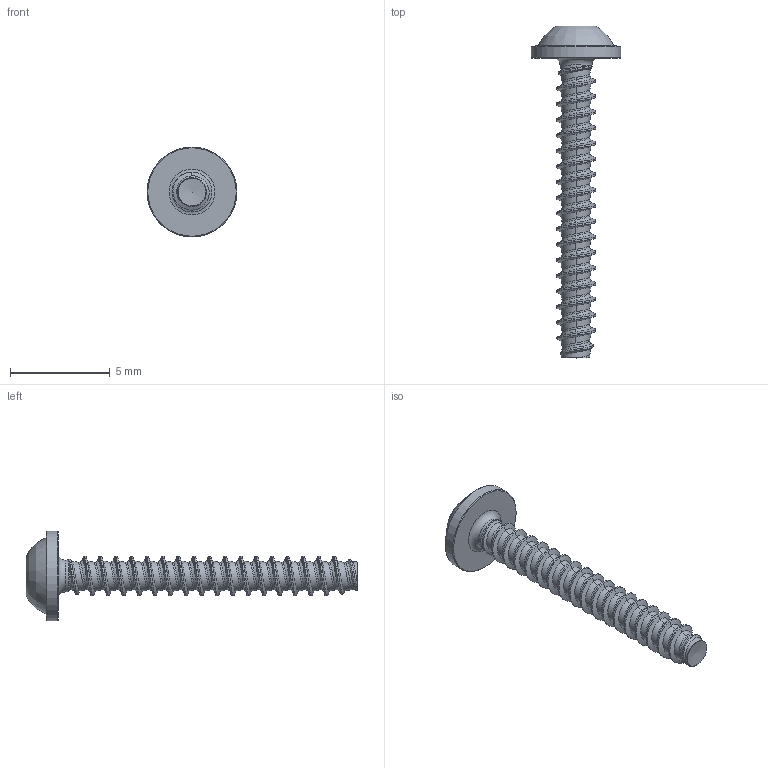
import cadquery as cq
import math


full_circle = 360

flange_radius = 2.25
flange_height = 0.6
flange_edge_chamfer = 0.04
head_height = 1.6
dome_base_radius = 1.9
dome_flat_radius = 0.95
dome_shoulder_radius = 1.64
dome_shoulder_height = 1.08

shank_length = 15.0
tip_dish_depth = 0.07
core_radius = 0.7
neck_radius = 0.8
neck_fillet = 0.35
neck_end = 0.5
neck_taper_end = 0.6

crest_radius = 1.0
pitch = 0.78
crest_half_width = 0.04
flank_foot_radius = 0.75
flank_foot_half_width = 0.12
head_side_ramp_end = 0.27
tip_side_ramp_end = 0.45
buried_depth = 0.003
full_thread_start = 1.335
full_thread_turns = 16
seam_angle = 90
head_run_out_turns = 1.25
head_run_out_height = 0.35
tip_run_out_turns = 1.5
tip_run_out_height = 0.05


def revolve_about_y(outline):
    """Close a (radius, Y) outline and turn it into a solid of revolution."""
    return outline.close().revolve(full_circle, (0, 0, 0), (0, 1, 0))


def make_head():
    outline = (
        cq.Workplane("ZY")
        .lineTo(flange_radius - flange_edge_chamfer, 0)
        .lineTo(flange_radius, flange_edge_chamfer)
        .lineTo(flange_radius, flange_height - flange_edge_chamfer)
        .lineTo(flange_radius - flange_edge_chamfer, flange_height)
        .lineTo(dome_base_radius, flange_height)
        .threePointArc((dome_shoulder_radius, dome_shoulder_height), (dome_flat_radius, head_height))
        .lineTo(0, head_height)
    )
    return revolve_about_y(outline)


def make_shank():
    overlap = flange_height / 2
    fillet_top_radius = neck_radius + neck_fillet
    fillet_diagonal = neck_fillet * math.sqrt(0.5)
    fillet_middle = (fillet_top_radius - fillet_diagonal, fillet_diagonal - neck_fillet)
    outline = (
        cq.Workplane("ZY")
        .moveTo(0, overlap)
        .lineTo(fillet_top_radius, overlap)
        .lineTo(fillet_top_radius, 0)
        .threePointArc(fillet_middle, (neck_radius, -neck_fillet))
        .lineTo(neck_radius, -neck_end)
        .lineTo(core_radius, -neck_taper_end)
        .lineTo(core_radius, -shank_length)
        .lineTo(0, tip_dish_depth - shank_length)
    )
    return revolve_about_y(outline)


def thread_corners(height_share):
    """Corners of the ridge section as (radius, axial offset), in order, at a share of the full height."""
    crest = core_radius + height_share * (crest_radius - core_radius)
    flank_foot = core_radius + height_share * (flank_foot_radius - core_radius)
    buried_radius = core_radius - buried_depth
    return [
        (buried_radius, -head_side_ramp_end),
        (flank_foot, -flank_foot_half_width),
        (crest, -crest_half_width),
        (crest, crest_half_width),
        (flank_foot, flank_foot_half_width),
        (buried_radius, tip_side_ramp_end),
    ]


def make_helix(radius, depth, turns, rise, turned):
    """Helix along +Z that starts at `depth`, turned by an angle, and widens evenly by `rise`."""
    height = turns * pitch
    slant_height = math.hypot(height, rise)
    slant = slant_height / height
    cylindrical = full_circle
    cone_angle = math.degrees(math.atan2(rise, height)) if rise else cylindrical
    helix = cq.Wire.makeHelix(pitch * slant, slant_height, radius, angle=cone_angle)
    return helix.rotate(cq.Vector(), cq.Vector(0, 0, 1), turned).translate(cq.Vector(0, 0, depth)).Edges()[0]


def end_cap(helices, position):
    """Flat face across the ridge through the start (0) or the end (1) of its corner helices."""
    corners = [helix.positionAt(position) for helix in helices]
    return cq.Face.makeFromWires(cq.Wire.makePolygon(corners, close=True))


def thread_stretch(start_depth, turns, start_height, end_height):
    """Corner helices of the ridge over some turns, with its share of the full height at each end."""
    turned = seam_angle + full_circle * (start_depth - full_thread_start) / pitch
    section_pairs = zip(thread_corners(start_height), thread_corners(end_height))
    return [
        make_helix(start_radius, start_depth + offset, turns, end_radius - start_radius, turned)
        for (start_radius, offset), (end_radius, _) in section_pairs
    ]


def make_thread():
    """Ridge that rises out of the neck, runs along the shank and sinks away towards the tip."""
    head_run_out_start = full_thread_start - head_run_out_turns * pitch
    full_thread_end = full_thread_start + full_thread_turns * pitch
    stretches = [thread_stretch(head_run_out_start, head_run_out_turns, head_run_out_height, 1)]
    for turn in range(full_thread_turns):
        stretches.append(thread_stretch(full_thread_start + turn * pitch, 1, 1, 1))
    stretches.append(thread_stretch(full_thread_end, tip_run_out_turns, 1, tip_run_out_height))
    faces = [end_cap(stretches[0], 0), end_cap(stretches[-1], 1)]
    for helices in stretches:
        for index, helix in enumerate(helices):
            neighbour = helices[(index + 1) % len(helices)]
            faces.append(cq.Face.makeRuledSurface(helix, neighbour))
    ridge = cq.Solid.makeSolid(cq.Shell.makeShell(faces))
    return cq.Workplane(obj=ridge.rotate(cq.Vector(), cq.Vector(1, 0, 0), 90))


def space_beyond_tip():
    """Block that trims whatever part of the thread passes the tip."""
    size = 2 * flange_radius
    return cq.Workplane("XY").box(size, size, size).translate((0, -shank_length - size / 2, 0))


thread = make_thread().cut(space_beyond_tip())
result = make_head().union(make_shank()).union(thread)